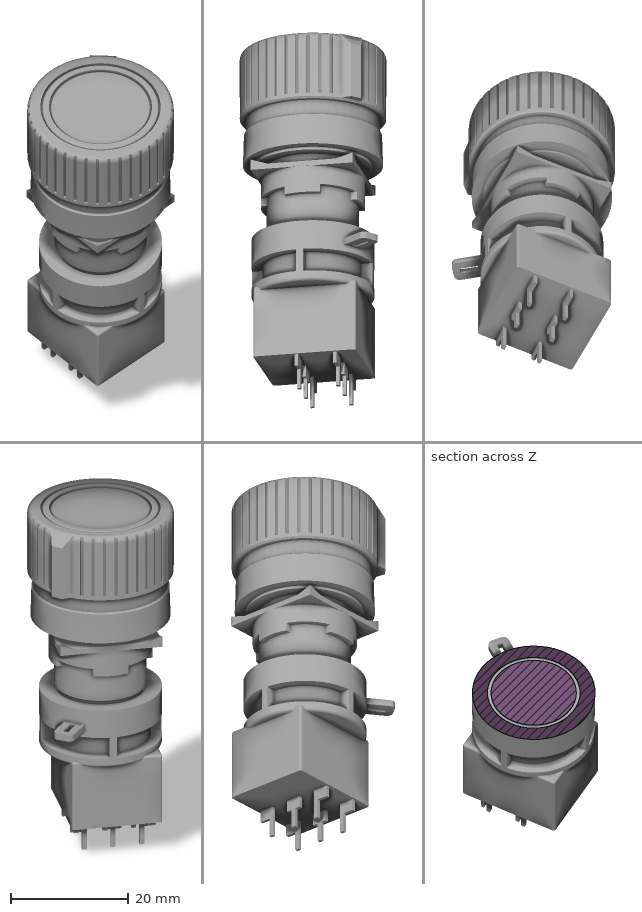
import cadquery as cq
import math

TOTAL_HEIGHT = 61.5
KNOB_BOTTOM = 49.5
BEZEL_TOP = 47.05
BEZEL_BOTTOM = 41.45
GASKET_BOTTOM = 40.95
NUT_TOP = 40.3
NUT_BOTTOM = 33.75
SHAFT_BOTTOM = 28.35
COLLAR_TOP = 28.05
COLLAR_BOTTOM = 17.35
BOX_TOP = 18.1
BOX_BOTTOM = 5.4

KNOB_RADIUS = 12.515
KNOB_TOP_FILLET = 1.0
KNOB_BOTTOM_CHAMFER = 0.3
FLUTE_COUNT = 40
FLUTE_WIDTH = 0.55
FLUTE_DEPTH = 0.35
FLUTE_BOTTOM = 50.4
OUTER_GROOVE_RADII = (9.95, 10.3)
INNER_GROOVE_RADII = (8.5, 8.8)
TOP_GROOVE_DEPTH = 0.6
RING_EDGE_ROUND = 0.35
CAP_EDGE_ROUND = 0.25
DOME_EDGE_DROP = 0.2

POINTER_ANGLE = 135.0
POINTER_HALF_SPAN = 12.0
POINTER_REACH = 13.8
POINTER_ROOT = 12.1
POINTER_TIP_WIDTH = 2.0
POINTER_ROOT_WIDTH = 4.55
POINTER_BOTTOM = 49.9
POINTER_TOP = 61.45
POINTER_TIP_TOP = 59.4

NECK_RADIUS = 11.45
BEZEL_TOP_RADIUS = 11.8
BEZEL_MIDDLE_RADIUS = 11.9
BEZEL_BOTTOM_RADIUS = 12.0
BEZEL_TOP_CHAMFER = 0.25
GASKET_RADIUS = 10.15
SHAFT_RADIUS = 7.9
SHAFT_CHAMFER = 0.35
SPIGOT_RADIUS = 7.3

NUT_RADIUS = 8.9
FLANGE_HEIGHT = 1.85
CORNER_RISE = 0.9
CORNER_LENGTH = 2.9
NUT_TAB_WIDTH = 6.15
NUT_TAB_HEIGHT = 1.4

COLLAR_RADIUS = 10.5
COLLAR_FILLET = 0.55
SOCKET_RADIUS = 7.9
SOCKET_BOTTOM = 27.4
WINDOW_TOP = 22.95
WINDOW_BOTTOM = 19.0
CORE_RADIUS = 8.6
RIB_WIDTH = 1.15

LEVER_ANGLE = 142.8
LEVER_REACH = 15.5
LEVER_ROOT = 9.85
LEVER_WIDTH = 3.7
LEVER_FILLET = 1.0
LEVER_BOTTOM = 24.1
LEVER_THICKNESS = 1.15
SLOT_WIDTH = 1.0
SLOT_END = 14.2
SLOT_LENGTH = 3.2

BOX_LENGTH = 17.95
BOX_WIDTH = 15.75
BOX_CENTER_Y = -1.05
BOX_FILLET = 0.4
TERMINAL_X = (-5.3, 1.5)
TERMINAL_PITCH = 5.05
TERMINAL_THICKNESS = 0.6
BLADE_WIDTH = 2.8
BLADE_BOTTOM = 3.4
PIN_WIDTH = 0.8


def disc(radius, bottom, top):
    return cq.Workplane("XY").workplane(offset=bottom).circle(radius).extrude(top - bottom)


def ring(radii, bottom, top):
    inner, outer = radii
    return disc(outer, bottom, top).cut(disc(inner, bottom, top))


def block(x_size, y_size, bottom, top, x_center=0.0, y_center=0.0):
    base = cq.Workplane("XY").workplane(offset=bottom).center(x_center, y_center)
    return base.rect(x_size, y_size).extrude(top - bottom)


def turned(shape, angle):
    return shape.rotate((0, 0, 0), (0, 0, 1), angle)


def make_knob():
    knob = disc(KNOB_RADIUS, KNOB_BOTTOM, TOTAL_HEIGHT)
    knob = knob.faces(">Z").edges().fillet(KNOB_TOP_FILLET)
    knob = knob.faces("<Z").edges().chamfer(KNOB_BOTTOM_CHAMFER)
    flute = block(2 * FLUTE_DEPTH, FLUTE_WIDTH, FLUTE_BOTTOM, TOTAL_HEIGHT, x_center=KNOB_RADIUS)
    for index in range(FLUTE_COUNT):
        angle = index * 360 / FLUTE_COUNT
        if abs(angle - POINTER_ANGLE) > POINTER_HALF_SPAN:
            knob = knob.cut(turned(flute, angle))
    return knob.union(make_pointer()).cut(make_outer_groove()).cut(make_cap_recess())


def make_pointer():
    """A wedge that narrows outwards, with a sloping top."""
    plan = [
        (POINTER_ROOT, -POINTER_ROOT_WIDTH / 2),
        (POINTER_REACH, -POINTER_TIP_WIDTH / 2),
        (POINTER_REACH, POINTER_TIP_WIDTH / 2),
        (POINTER_ROOT, POINTER_ROOT_WIDTH / 2),
    ]
    side = [
        (POINTER_ROOT, POINTER_BOTTOM),
        (POINTER_REACH, POINTER_BOTTOM),
        (POINTER_REACH, POINTER_TIP_TOP),
        (POINTER_ROOT, POINTER_TOP),
    ]
    wedge = cq.Workplane("XY").workplane(offset=POINTER_BOTTOM).polyline(plan).close()
    wedge = wedge.extrude(POINTER_TOP - POINTER_BOTTOM)
    slope = cq.Workplane("XZ").polyline(side).close().extrude(POINTER_ROOT_WIDTH / 2, both=True)
    return turned(wedge.intersect(slope), POINTER_ANGLE)


def make_outer_groove():
    """A ring groove with an upright outer wall and a rounded inner edge."""
    bottom = TOTAL_HEIGHT - TOP_GROOVE_DEPTH
    above_knob = TOTAL_HEIGHT + TOP_GROOVE_DEPTH
    inner_radius, outer_radius = OUTER_GROOVE_RADII
    shoulder = inner_radius - RING_EDGE_ROUND
    return (
        cq.Workplane("XZ")
        .moveTo(inner_radius, bottom)
        .lineTo(outer_radius, bottom)
        .lineTo(outer_radius, above_knob)
        .lineTo(shoulder, above_knob)
        .lineTo(shoulder, TOTAL_HEIGHT)
        .radiusArc((inner_radius, TOTAL_HEIGHT - RING_EDGE_ROUND), RING_EDGE_ROUND)
        .close()
        .revolve(360, (0, 0), (0, 1))
    )


def make_cap_recess():
    """The space above the domed cap, joined to the groove around the cap."""
    bottom = TOTAL_HEIGHT - TOP_GROOVE_DEPTH
    above_knob = TOTAL_HEIGHT + TOP_GROOVE_DEPTH
    cap_radius, step_radius = INNER_GROOVE_RADII
    dome_radius = cap_radius - CAP_EDGE_ROUND
    dome_edge = TOTAL_HEIGHT - DOME_EDGE_DROP
    return (
        cq.Workplane("XZ")
        .moveTo(0, above_knob)
        .lineTo(0, TOTAL_HEIGHT)
        .threePointArc((dome_radius / 2, TOTAL_HEIGHT - DOME_EDGE_DROP / 4), (dome_radius, dome_edge))
        .radiusArc((cap_radius, dome_edge - CAP_EDGE_ROUND), CAP_EDGE_ROUND)
        .lineTo(cap_radius, bottom)
        .lineTo(step_radius, bottom)
        .lineTo(step_radius, above_knob)
        .close()
        .revolve(360, (0, 0), (0, 1))
    )


def make_bezel_and_shaft():
    return (
        cq.Workplane("XZ")
        .moveTo(0, KNOB_BOTTOM)
        .lineTo(NECK_RADIUS, KNOB_BOTTOM)
        .lineTo(NECK_RADIUS, BEZEL_TOP)
        .lineTo(BEZEL_TOP_RADIUS, BEZEL_TOP - BEZEL_TOP_CHAMFER)
        .threePointArc(
            (BEZEL_MIDDLE_RADIUS, (BEZEL_TOP + BEZEL_BOTTOM) / 2),
            (BEZEL_BOTTOM_RADIUS, BEZEL_BOTTOM),
        )
        .lineTo(GASKET_RADIUS, BEZEL_BOTTOM)
        .lineTo(GASKET_RADIUS, GASKET_BOTTOM)
        .lineTo(SHAFT_RADIUS, GASKET_BOTTOM)
        .lineTo(SHAFT_RADIUS, SHAFT_BOTTOM + SHAFT_CHAMFER)
        .lineTo(SHAFT_RADIUS - SHAFT_CHAMFER, SHAFT_BOTTOM)
        .lineTo(SPIGOT_RADIUS, SHAFT_BOTTOM)
        .lineTo(SPIGOT_RADIUS, SOCKET_BOTTOM)
        .lineTo(0, SOCKET_BOTTOM)
        .close()
        .revolve(360, (0, 0), (0, 1))
    )


def make_operator():
    return make_knob().union(make_bezel_and_shaft())


def make_flange():
    """A square plate whose four corners rise to points."""
    side = 2 * NUT_RADIUS
    flat_top = NUT_TOP - CORNER_RISE
    flange = block(side, side, NUT_TOP - FLANGE_HEIGHT, flat_top)
    corner_reach = NUT_RADIUS * math.sqrt(2)
    crease_reach = corner_reach - CORNER_LENGTH / math.sqrt(2)
    rising_wedge = (
        cq.Workplane("XZ")
        .polyline([(crease_reach, flat_top), (corner_reach, flat_top), (corner_reach, NUT_TOP)])
        .close()
        .extrude(CORNER_LENGTH, both=True)
    )
    square = block(side, side, flat_top, NUT_TOP)
    for index in range(4):
        flange = flange.union(turned(rising_wedge, 45 + index * 90).intersect(square))
    return flange


def make_lock_nut():
    side = 2 * NUT_RADIUS
    tab_top = NUT_BOTTOM + NUT_TAB_HEIGHT
    sleeve = disc(NUT_RADIUS, tab_top, NUT_TOP - FLANGE_HEIGHT)
    tab_cross = block(side, NUT_TAB_WIDTH, NUT_BOTTOM, tab_top)
    tab_cross = tab_cross.union(block(NUT_TAB_WIDTH, side, NUT_BOTTOM, tab_top))
    tabs = disc(NUT_RADIUS, NUT_BOTTOM, tab_top).intersect(tab_cross)
    bore = disc(SHAFT_RADIUS, NUT_BOTTOM, NUT_TOP)
    return make_flange().union(sleeve).union(tabs).cut(bore)


def make_collar():
    collar = disc(COLLAR_RADIUS, COLLAR_BOTTOM, COLLAR_TOP)
    collar = collar.faces("<Z").edges().fillet(COLLAR_FILLET)
    windows = ring((CORE_RADIUS, COLLAR_RADIUS), WINDOW_BOTTOM, WINDOW_TOP)
    windows = windows.cut(block(2 * COLLAR_RADIUS, RIB_WIDTH, WINDOW_BOTTOM, WINDOW_TOP))
    windows = windows.cut(block(RIB_WIDTH, 2 * COLLAR_RADIUS, WINDOW_BOTTOM, WINDOW_TOP))
    socket = disc(SOCKET_RADIUS, SOCKET_BOTTOM, COLLAR_TOP)
    return collar.cut(windows).cut(socket)


def make_lever():
    lever_top = LEVER_BOTTOM + LEVER_THICKNESS
    length = LEVER_REACH - LEVER_ROOT
    center = (LEVER_REACH + LEVER_ROOT) / 2
    lever = block(length, LEVER_WIDTH, LEVER_BOTTOM, lever_top, x_center=center)
    lever = lever.edges("|Z and >X").fillet(LEVER_FILLET)
    slot_center = SLOT_END - SLOT_LENGTH / 2
    slot = block(SLOT_LENGTH, SLOT_WIDTH, LEVER_BOTTOM, lever_top, x_center=slot_center)
    return turned(lever.cut(slot), LEVER_ANGLE)


def make_box():
    box = block(BOX_LENGTH, BOX_WIDTH, BOX_BOTTOM, BOX_TOP, y_center=BOX_CENTER_Y)
    return box.edges("|Z or >Z").fillet(BOX_FILLET)


def make_terminals():
    """Two rows of three; the outer blades step outwards from their pins."""
    terminals = cq.Workplane("XY")
    for x in TERMINAL_X:
        for side in (-1, 0, 1):
            pin_y = BOX_CENTER_Y + side * TERMINAL_PITCH
            blade_y = pin_y + side * (BLADE_WIDTH - PIN_WIDTH) / 2
            blade = block(TERMINAL_THICKNESS, BLADE_WIDTH, BLADE_BOTTOM, BOX_BOTTOM, x, blade_y)
            pin = block(TERMINAL_THICKNESS, PIN_WIDTH, 0, BLADE_BOTTOM, x, pin_y)
            terminals = terminals.add(blade.union(pin))
    return terminals


def make_contact_block():
    body = make_collar().union(make_lever()).union(make_box())
    for terminal in make_terminals().vals():
        body = body.union(cq.Workplane(terminal))
    return body


operator = make_operator()
lock_nut = make_lock_nut()
contact_block = make_contact_block()
result = cq.Compound.makeCompound([operator.val(), lock_nut.val(), contact_block.val()])